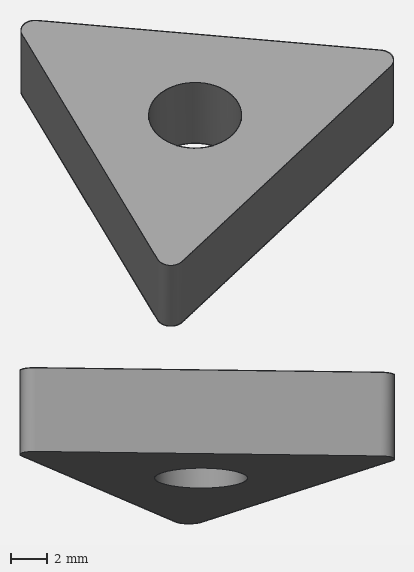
import cadquery as cq
import math

inscribed_diameter = 12.7
thickness = 4.76
corner_radius = 0.8
hole_diameter = 5.16

corner_distance = inscribed_diameter
corner_angles = (90, 210, 330)


def triangle_corners():
    """Sharp corners of the triangle, centred on the origin with one pointing to +Y."""
    return [
        (
            corner_distance * math.cos(math.radians(angle)),
            corner_distance * math.sin(math.radians(angle)),
        )
        for angle in corner_angles
    ]


plate = cq.Workplane("XY").polyline(triangle_corners()).close().extrude(thickness)
plate = plate.edges("|Z").fillet(corner_radius)

result = plate.faces(">Z").workplane(origin=(0, 0, thickness)).hole(hole_diameter)